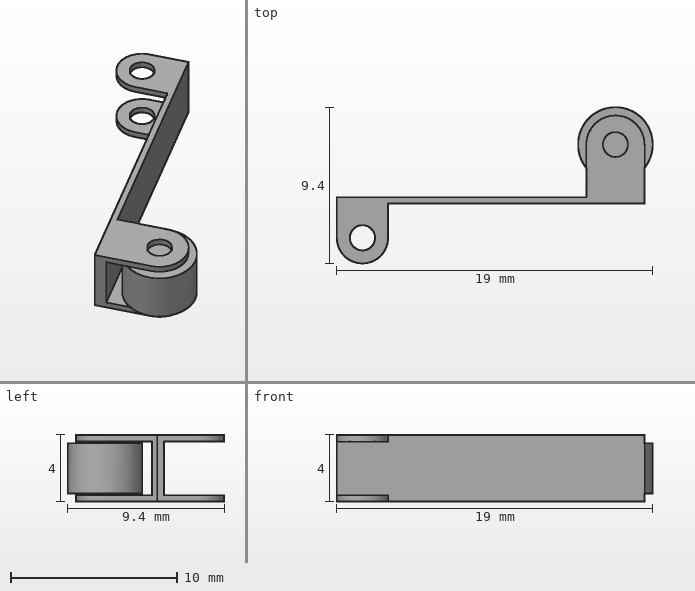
import cadquery as cq


overall_length = 19
bracket_height = 4.0
sheet = 0.4
hole_diameter = 1.5

roller_diameter = 4.5
roller_height = 3.04

left_lug_width = 3.1
right_lug_width = 3.5
left_hole_y = -2.45
right_hole_y = 3.15

back_wall_thickness = 0.35

left_hole_x = left_lug_width / 2
right_hole_x = overall_length - roller_diameter / 2
bracket_length = right_hole_x + right_lug_width / 2


def make_lug(hole_x, hole_y, width, bottom):
    """Flat lug running from the web to a rounded, drilled end."""
    root_y = -sheet if hole_y > 0 else 0
    base = cq.Workplane("XY", origin=(hole_x, 0, bottom))
    arm = base.center(0, (root_y + hole_y) / 2).rect(width, abs(hole_y - root_y)).extrude(sheet)
    end = base.center(0, hole_y).circle(width / 2).extrude(sheet)
    hole = base.center(0, hole_y).circle(hole_diameter / 2).extrude(sheet)
    return arm.union(end).cut(hole)


def make_bracket():
    """Upright web with a pair of lugs at each end, on opposite sides."""
    web = (
        cq.Workplane("XY")
        .box(bracket_length, sheet, bracket_height, centered=(False, False, True))
        .translate((0, -sheet, 0))
    )
    back_wall = (
        cq.Workplane("XY", origin=(right_hole_x, 0, 0))
        .box(right_lug_width, back_wall_thickness, bracket_height, centered=(True, False, True))
    )
    body = web.union(back_wall)
    for bottom in (-bracket_height / 2, bracket_height / 2 - sheet):
        body = body.union(make_lug(left_hole_x, left_hole_y, left_lug_width, bottom))
        body = body.union(make_lug(right_hole_x, right_hole_y, right_lug_width, bottom))
    return body


def make_roller():
    """Plain solid cylinder centred on the right lug holes."""
    return (
        cq.Workplane("XY", origin=(right_hole_x, right_hole_y, -roller_height / 2))
        .circle(roller_diameter / 2)
        .extrude(roller_height)
    )


bracket = make_bracket()
roller = make_roller()

result = cq.Compound.makeCompound([bracket.val(), roller.val()])